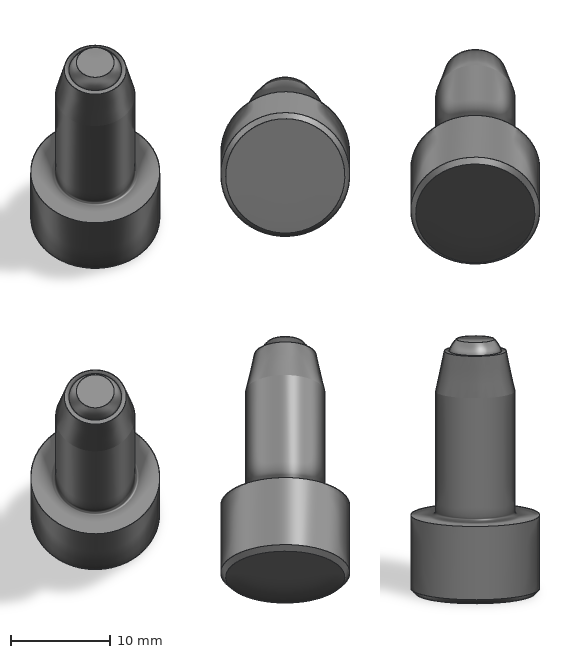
import cadquery as cq
import math

TOTAL_HEIGHT = 26.0

HEAD_DIAMETER = 13.0
HEAD_HEIGHT = 8.0
HEAD_CHAMFER = 0.5

SHANK_DIAMETER = 8.0
ROOT_FILLET_RADIUS = 0.4

TAPER_HALF_ANGLE = 12.0
TAPER_HEIGHT = 4.15

NOSE_HEIGHT = 1.2
NOSE_BASE_DIAMETER = 5.3
NOSE_FLAT_DIAMETER = 3.8

HEAD_RADIUS = HEAD_DIAMETER / 2
SHANK_RADIUS = SHANK_DIAMETER / 2
TAPER_TOP_RADIUS = SHANK_RADIUS - TAPER_HEIGHT * math.tan(math.radians(TAPER_HALF_ANGLE))
NOSE_BASE_RADIUS = NOSE_BASE_DIAMETER / 2
NOSE_FLAT_RADIUS = NOSE_FLAT_DIAMETER / 2
TAPER_TOP_Z = TOTAL_HEIGHT - NOSE_HEIGHT
SHANK_TOP_Z = TAPER_TOP_Z - TAPER_HEIGHT


def nose_arc_midpoint():
    """Point halfway along the nose arc, whose centre lies on the pin axis."""
    centre_depth = (NOSE_BASE_RADIUS**2 - NOSE_FLAT_RADIUS**2 - NOSE_HEIGHT**2) / (2 * NOSE_HEIGHT)
    sphere_radius = math.hypot(NOSE_BASE_RADIUS, centre_depth)
    base_angle = math.atan2(centre_depth, NOSE_BASE_RADIUS)
    flat_angle = math.atan2(centre_depth + NOSE_HEIGHT, NOSE_FLAT_RADIUS)
    mid_angle = (base_angle + flat_angle) / 2
    centre_z = TAPER_TOP_Z - centre_depth
    mid_radius = sphere_radius * math.cos(mid_angle)
    mid_z = centre_z + sphere_radius * math.sin(mid_angle)
    return mid_radius, mid_z


def root_fillet_midpoint():
    """Point halfway along the concave fillet between the shank and the head."""
    inset = ROOT_FILLET_RADIUS * (1 - math.sqrt(0.5))
    return SHANK_RADIUS + inset, HEAD_HEIGHT + inset


def half_profile():
    """Closed half section of the pin in the XZ plane, from the axis outward."""
    return (
        cq.Workplane("XZ")
        .moveTo(0, 0)
        .lineTo(HEAD_RADIUS - HEAD_CHAMFER, 0)
        .lineTo(HEAD_RADIUS, HEAD_CHAMFER)
        .lineTo(HEAD_RADIUS, HEAD_HEIGHT)
        .lineTo(SHANK_RADIUS + ROOT_FILLET_RADIUS, HEAD_HEIGHT)
        .threePointArc(root_fillet_midpoint(), (SHANK_RADIUS, HEAD_HEIGHT + ROOT_FILLET_RADIUS))
        .lineTo(SHANK_RADIUS, SHANK_TOP_Z)
        .lineTo(TAPER_TOP_RADIUS, TAPER_TOP_Z)
        .lineTo(NOSE_BASE_RADIUS, TAPER_TOP_Z)
        .threePointArc(nose_arc_midpoint(), (NOSE_FLAT_RADIUS, TOTAL_HEIGHT))
        .lineTo(0, TOTAL_HEIGHT)
        .close()
    )


result = half_profile().revolve(360, (0, 0, 0), (0, 1, 0))